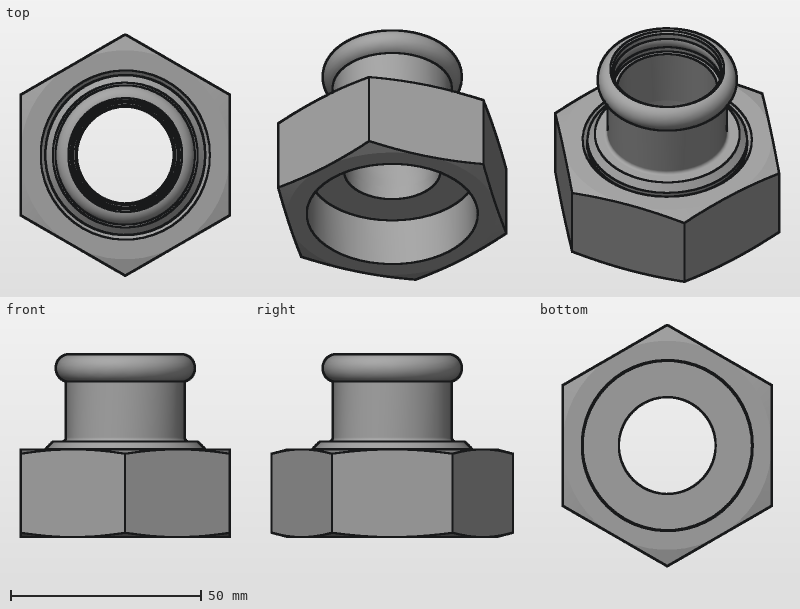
import cadquery as cq
import math

total_height = 48.15
nut_height = 23.05
hex_corner_diameter = 63.5
hex_flat_width = hex_corner_diameter * math.cos(math.radians(30))
corner_chamfer_angle = 15.0

lip_diameter = 42.2
lip_mouth_diameter = 44.5
nut_bore_diameter = 45.0
lip_bottom_z = 17.8

flange_diameter = 42.0
collar_diameter = 44.5
collar_bottom_z = 14.0
shoulder_z = 25.15
shoulder_radius = 19.05
flange_chamfer = flange_diameter / 2 - shoulder_radius

tube_radius = 31.4 / 2
neck_fillet = 0.95
bead_height = 7.25
bead_radius = 18.35
rim_radius = 30.0 / 2
bead_bottom_z = total_height - bead_height
bead_middle_z = total_height - bead_height / 2

through_radius = 25.4 / 2
mouth_radius = 28.8 / 2
mouth_drop = 0.5
socket_radius = 28.4 / 2
ring_radius = 13.8
ring_top_z = 46.05
ring_bottom_z = 43.1
ring_middle_z = (ring_top_z + ring_bottom_z) / 2
stop_z = 41.6
bore_radius = 13.15


def make_nut():
    """Hexagonal union nut with chamfered corners and an inner retaining lip."""
    hexagon = (
        cq.Workplane("XY")
        .polygon(6, hex_corner_diameter)
        .extrude(nut_height)
        .rotate((0, 0, 0), (0, 0, 1), 30)
    )
    corner_radius = hex_corner_diameter / 2
    flat_radius = hex_flat_width / 2
    chamfer_height = (corner_radius - flat_radius) * math.tan(math.radians(corner_chamfer_angle))
    chamfer_envelope = (
        cq.Workplane("XZ")
        .moveTo(0, 0)
        .lineTo(flat_radius, 0)
        .lineTo(corner_radius, chamfer_height)
        .lineTo(corner_radius, nut_height - chamfer_height)
        .lineTo(flat_radius, nut_height)
        .lineTo(0, nut_height)
        .close()
        .revolve(360, (0, 0, 0), (0, 1, 0))
    )
    mouth_depth = (lip_mouth_diameter - lip_diameter) / 2
    bore = (
        cq.Workplane("XZ")
        .moveTo(0, 0)
        .lineTo(nut_bore_diameter / 2, 0)
        .lineTo(nut_bore_diameter / 2, lip_bottom_z)
        .lineTo(lip_diameter / 2, lip_bottom_z)
        .lineTo(lip_diameter / 2, nut_height - mouth_depth)
        .lineTo(lip_mouth_diameter / 2, nut_height)
        .lineTo(0, nut_height)
        .close()
        .revolve(360, (0, 0, 0), (0, 1, 0))
    )
    return hexagon.intersect(chamfer_envelope).cut(bore)


def make_tailpiece():
    """Turned press-fit tube with a rolled bead on top and a flange held under the nut lip."""
    fillet_center_x = tube_radius + neck_fillet
    fillet_center_z = shoulder_z + neck_fillet
    fillet_middle = (
        fillet_center_x - neck_fillet * math.cos(math.radians(45)),
        fillet_center_z - neck_fillet * math.sin(math.radians(45)),
    )
    return (
        cq.Workplane("XZ")
        .moveTo(through_radius, collar_bottom_z)
        .lineTo(collar_diameter / 2, collar_bottom_z)
        .lineTo(collar_diameter / 2, lip_bottom_z)
        .lineTo(flange_diameter / 2, lip_bottom_z)
        .lineTo(flange_diameter / 2, shoulder_z - flange_chamfer)
        .lineTo(shoulder_radius, shoulder_z)
        .lineTo(fillet_center_x, shoulder_z)
        .threePointArc(fillet_middle, (tube_radius, fillet_center_z))
        .lineTo(tube_radius, bead_bottom_z)
        .threePointArc((bead_radius, bead_middle_z), (rim_radius, total_height))
        .lineTo(mouth_radius, total_height - mouth_drop)
        .lineTo(socket_radius, ring_top_z)
        .threePointArc((ring_radius, ring_middle_z), (socket_radius, ring_bottom_z))
        .lineTo(socket_radius, stop_z)
        .lineTo(bore_radius, stop_z)
        .lineTo(bore_radius, shoulder_z)
        .lineTo(through_radius, lip_bottom_z)
        .close()
        .revolve(360, (0, 0, 0), (0, 1, 0))
    )


nut = make_nut()
tailpiece = make_tailpiece()

result = cq.Compound.makeCompound([nut.val(), tailpiece.val()])